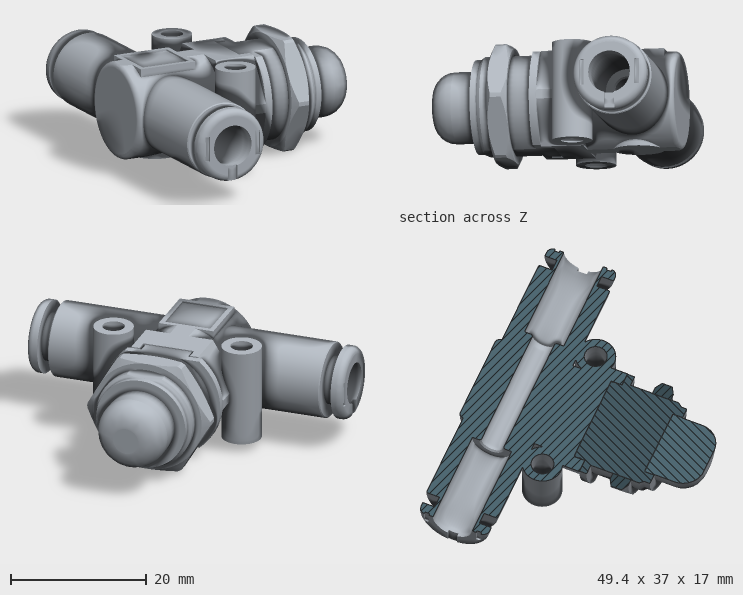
import cadquery as cq
import math


OVERALL_LENGTH = 49.4
SLEEVE_EXPOSED = 3.45
ARM_DIA = 11.4
ARM_CHAMFER = 0.15
ARM_END = OVERALL_LENGTH / 2 - SLEEVE_EXPOSED
LUG_DIA = 6.0
LUG_HOLE_DIA = 3.3
LUG_HEIGHT = 14.6
LUG_X = 10.05
LUG_Y = 8.15

HUB_DIA = 14.6
HUB_BOTTOM_Y = -6.45
HUB_EDGE_RADIUS = 0.8
HUB_FLAT_Z = 7.15
PAD_WIDTH = 8.55
PAD_LENGTH = 9.1
PAD_RIM = 0.75
PAD_RECESS_DEPTH = 0.25
BOSS_DIA = 7.6

COLLAR_BOTTOM_Y = 7.35
COLLAR_TOP_Y = 13.7
COLLAR_HALF_WIDTH = 9.15
COLLAR_TOP_HALF_WIDTH = 5.25
COLLAR_SIDE_HALF_HEIGHT = 0.7

STEM_DIA = 15.0
STEM_FLATS = 14.0
FLANGE_DIA = 18.2
FLANGE_TOP_Y = 14.8
STEM_CHAMFER_Y = 22.55
LIP_BOTTOM_Y = 23.1
LIP_TOP_Y = 24.05
LIP_DIA = STEM_FLATS
CORE_DIA = STEM_FLATS
TAB_WIDTH = 7.25
TAB_END_Y = 11.95
TAB_GAP = 0.35

DOME_DIA = 10.6
DOME_SEAT_Y = STEM_CHAMFER_Y
DOME_TOP_Y = 30.55
DOME_RADIUS = 3.3

NUT_ACROSS_FLATS = 17.0
NUT_CORNER_DIA = 19.25
NUT_BOTTOM_Y = 18.3
NUT_TOP_Y = 21.25
NUT_CHAMFER_ANGLE = 30.0

SLEEVE_HEAD_DIA = 11.0
SLEEVE_FACE_DIA = 9.0
SLEEVE_HEAD_LENGTH = 1.75
SLEEVE_NECK_DIA = 7.2
SLEEVE_BORE_DIA = 6.2
SLOT_WIDTH = 1.55
SLOT_DEPTH = 0.5
MARK_WIDTH = 0.7
MARK_LENGTH = 3.75
MARK_OFFSET = 4.15
MARK_DEPTH = 0.3

PASSAGE_DIA = 3.5
PASSAGE_MOUTH_DIA = 4.0
SOCKET_DEPTH = 14.8
SOCKET_FLOOR = OVERALL_LENGTH / 2 - SOCKET_DEPTH


def cylinder_along_x(diameter, half_length):
    """Cylinder on the X axis, centred on the origin."""
    return cq.Workplane("YZ").circle(diameter / 2).extrude(half_length, both=True)


def cylinder_along_y(diameter, start_y, end_y):
    """Cylinder on the Y axis between two Y positions."""
    return cq.Workplane("XZ", origin=(0, start_y, 0)).circle(diameter / 2).extrude(start_y - end_y)


def box_between(width, start_y, end_y, start_z, end_z):
    """Box centred on X = 0 between two Y and two Z positions."""
    box = cq.Workplane("XY").box(width, end_y - start_y, end_z - start_z)
    return box.translate((0, (start_y + end_y) / 2, (start_z + end_z) / 2))


def flat_limits(body, across_flats):
    """Cut a body to a given height, centred on Z = 0."""
    return body.intersect(cq.Workplane("XY").box(2 * OVERALL_LENGTH, 2 * OVERALL_LENGTH, across_flats))


def make_hub():
    """Round centre with flats, a framed pad on top and a round boss below."""
    hub = cylinder_along_y(HUB_DIA, HUB_BOTTOM_Y, COLLAR_BOTTOM_Y)
    hub = hub.faces("<Y").edges().fillet(HUB_EDGE_RADIUS)
    hub = flat_limits(hub, 2 * HUB_FLAT_Z)
    pad = box_between(PAD_WIDTH, -PAD_LENGTH / 2, PAD_LENGTH / 2, 0, HUB_FLAT_Z)
    boss = cq.Workplane("XY").circle(BOSS_DIA / 2).extrude(-HUB_FLAT_Z)
    recess_half_length = PAD_LENGTH / 2 - PAD_RIM
    recess = box_between(
        PAD_WIDTH - 2 * PAD_RIM, -recess_half_length, recess_half_length,
        HUB_FLAT_Z - PAD_RECESS_DEPTH, HUB_FLAT_Z,
    )
    return hub.union(pad).union(boss).cut(recess)


def make_collar():
    """Eight-sided collar with a bore for the stem core and a notch for each stem tab."""
    quarter = [(COLLAR_HALF_WIDTH, COLLAR_SIDE_HALF_HEIGHT), (COLLAR_TOP_HALF_WIDTH, HUB_FLAT_Z)]
    upper = quarter + [(-x, z) for x, z in reversed(quarter)]
    outline = upper + [(-x, -z) for x, z in upper]
    collar = (
        cq.Workplane("XZ", origin=(0, COLLAR_BOTTOM_Y, 0))
        .polyline(outline).close().extrude(COLLAR_BOTTOM_Y - COLLAR_TOP_Y)
    )
    notch = box_between(TAB_WIDTH + 2 * TAB_GAP, TAB_END_Y, COLLAR_TOP_Y, -HUB_FLAT_Z, HUB_FLAT_Z)
    core_bore = cylinder_along_y(CORE_DIA, TAB_END_Y, COLLAR_TOP_Y)
    return collar.cut(notch).cut(core_bore)


def make_stem():
    """Stem with core, flange and lip, two flats, a tab on each flat and a seat for the dome."""
    stem = (
        cq.Workplane("XY")
        .moveTo(0, TAB_END_Y)
        .lineTo(CORE_DIA / 2, TAB_END_Y)
        .lineTo(CORE_DIA / 2, COLLAR_TOP_Y)
        .lineTo(FLANGE_DIA / 2, COLLAR_TOP_Y)
        .lineTo(FLANGE_DIA / 2, FLANGE_TOP_Y)
        .lineTo(STEM_DIA / 2, FLANGE_TOP_Y)
        .lineTo(STEM_DIA / 2, STEM_CHAMFER_Y)
        .lineTo(LIP_DIA / 2, LIP_BOTTOM_Y)
        .lineTo(LIP_DIA / 2, LIP_TOP_Y)
        .lineTo(0, LIP_TOP_Y)
        .close()
        .revolve(360, (0, 0, 0), (0, 1, 0))
    )
    tabs = box_between(TAB_WIDTH, TAB_END_Y, COLLAR_TOP_Y, -STEM_FLATS / 2, STEM_FLATS / 2)
    dome_seat = cylinder_along_y(DOME_DIA, DOME_SEAT_Y, LIP_TOP_Y)
    return flat_limits(stem, STEM_FLATS).union(tabs).cut(dome_seat)


def make_dome():
    """Round plug with a domed end."""
    dome = cylinder_along_y(DOME_DIA, DOME_SEAT_Y, DOME_TOP_Y)
    return dome.faces(">Y").edges().fillet(DOME_RADIUS)


def make_arms():
    """Both tube arms as one bar with chamfered ends."""
    return cylinder_along_x(ARM_DIA, ARM_END).faces("<X or >X").edges().chamfer(ARM_CHAMFER)


def make_lug_posts(diameter):
    """A pair of cylinders along Z at the lug positions."""
    return (
        cq.Workplane("XY").pushPoints([(-LUG_X, LUG_Y), (LUG_X, LUG_Y)])
        .circle(diameter / 2).extrude(LUG_HEIGHT / 2, both=True)
    )


def make_flow_space():
    """Passage with chamfered mouths and a tube socket at each end, half of it mirrored."""
    half_length = OVERALL_LENGTH / 2
    mouth_chamfer = (PASSAGE_MOUTH_DIA - PASSAGE_DIA) / 2
    half = (
        cq.Workplane("XY")
        .lineTo(0, PASSAGE_DIA / 2)
        .lineTo(SOCKET_FLOOR - mouth_chamfer, PASSAGE_DIA / 2)
        .lineTo(SOCKET_FLOOR, PASSAGE_MOUTH_DIA / 2)
        .lineTo(SOCKET_FLOOR, SLEEVE_BORE_DIA / 2)
        .lineTo(half_length, SLEEVE_BORE_DIA / 2)
        .lineTo(half_length, 0)
        .close()
        .revolve(360, (0, 0, 0), (1, 0, 0))
    )
    return half.union(half.mirror("YZ"))


def make_sleeve():
    """Left release sleeve: rounded head on a neck, marked on its end face."""
    face_x = -OVERALL_LENGTH / 2
    head_back_x = face_x + SLEEVE_HEAD_LENGTH
    head_radius = SLEEVE_HEAD_DIA / 2
    edge_radius = (SLEEVE_HEAD_DIA - SLEEVE_FACE_DIA) / 2
    arc_offset = edge_radius * (1 - math.sqrt(0.5))
    sleeve = (
        cq.Workplane("XY")
        .moveTo(face_x, 0)
        .lineTo(face_x, SLEEVE_FACE_DIA / 2)
        .threePointArc((face_x + arc_offset, head_radius - arc_offset), (face_x + edge_radius, head_radius))
        .lineTo(head_back_x, head_radius)
        .lineTo(head_back_x, SLEEVE_NECK_DIA / 2)
        .lineTo(-ARM_END, SLEEVE_NECK_DIA / 2)
        .lineTo(-ARM_END, 0)
        .close()
        .revolve(360, (0, 0, 0), (1, 0, 0))
    )
    slot = cq.Workplane("XY").box(2 * SLOT_DEPTH, SLOT_WIDTH, head_radius)
    sleeve = sleeve.cut(slot.translate((face_x, 0, -head_radius / 2)))
    for side in (-1, 1):
        mark = cq.Workplane("XY").box(2 * MARK_DEPTH, MARK_WIDTH, MARK_LENGTH)
        sleeve = sleeve.cut(mark.translate((face_x, side * MARK_OFFSET, 0)))
    return sleeve


def make_housing():
    """One-piece housing: hub, collar, arms with their release sleeves, and lugs."""
    sleeve = make_sleeve()
    outside = make_hub().union(make_collar()).union(make_arms()).union(make_lug_posts(LUG_DIA))
    outside = outside.union(sleeve).union(sleeve.mirror("YZ"))
    return outside.cut(make_flow_space()).cut(make_lug_posts(LUG_HOLE_DIA))


def make_nut():
    """Hexagon panel nut with turned corners, 30 degree chamfers and a plain bore."""
    corner_to_corner = NUT_ACROSS_FLATS / math.cos(math.pi / 6)
    hexagon = (
        cq.Workplane("XZ", origin=(0, NUT_BOTTOM_Y, 0))
        .polygon(6, corner_to_corner)
        .extrude(NUT_BOTTOM_Y - NUT_TOP_Y)
    )
    chamfer_width = (NUT_CORNER_DIA - NUT_ACROSS_FLATS) / 2
    chamfer_height = chamfer_width * math.tan(math.radians(NUT_CHAMFER_ANGLE))
    turned = (
        cq.Workplane("XY")
        .moveTo(STEM_DIA / 2, NUT_BOTTOM_Y)
        .lineTo(NUT_ACROSS_FLATS / 2, NUT_BOTTOM_Y)
        .lineTo(NUT_CORNER_DIA / 2, NUT_BOTTOM_Y + chamfer_height)
        .lineTo(NUT_CORNER_DIA / 2, NUT_TOP_Y - chamfer_height)
        .lineTo(NUT_ACROSS_FLATS / 2, NUT_TOP_Y)
        .lineTo(STEM_DIA / 2, NUT_TOP_Y)
        .close()
        .revolve(360, (0, 0, 0), (0, 1, 0))
    )
    return hexagon.intersect(turned)


housing = make_housing()
stem = make_stem()
nut = make_nut()
dome = make_dome()
result = cq.Compound.makeCompound([housing.val(), stem.val(), nut.val(), dome.val()])